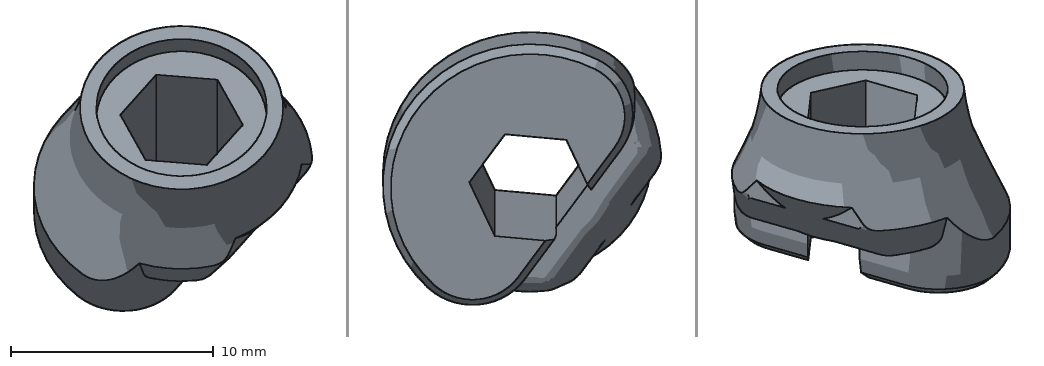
import cadquery as cq
import math

base_radius = 7.28
base_chamfer = 0.39
waist_radius = 5.51
rim_radius = 5.0
neck_middle_radius = 5.2
cone_bottom = 2.5
waist_height = 6.47
neck_middle_height = 7.73
total_height = 9.0

wall_x = 2.63
corner_start_x = -0.81

toe_top = 1.16
toe_wall_x = 2.55
toe_corner_start_x = -1.06

ledge_height = 4.35
crest_height = 5.41
pad_flat_x = 5.3
pad_corner_radius = 1.16
undercut_slope = 0.54
pad_side_slope = 0.13
pad_bottom_fillet = 1.02
crest_bottom_fillet = 1.02

recess_diameter = 8.4
recess_depth = 1.02
hex_across_flats = 2 * wall_x


def flare_radius(height):
    """Radius of the straight flare at a given height."""
    share = (height - cone_bottom) / (waist_height - cone_bottom)
    return base_radius + share * (waist_radius - base_radius)


def outer_skin():
    return (
        cq.Workplane("XZ")
        .lineTo(base_radius - base_chamfer, 0)
        .lineTo(base_radius, base_chamfer)
        .lineTo(base_radius, cone_bottom)
        .lineTo(waist_radius, waist_height)
        .threePointArc((neck_middle_radius, neck_middle_height), (rim_radius, total_height))
        .lineTo(0, total_height)
        .close()
        .revolve(360, (0, 0), (0, 1))
    )


def lower_outline(height, flat_x, start_x):
    start_y = math.sqrt(base_radius**2 - start_x**2)
    corner_radius = (flat_x - start_x) / (1 - start_x / base_radius)
    inward = 1 - corner_radius / base_radius
    center_x = start_x * inward
    center_y = start_y * inward
    back_x = -2 * base_radius
    back_y = (base_radius**2 - back_x * start_x) / start_y
    middle_angle = math.atan2(start_y, start_x) / 2
    middle_x = center_x + corner_radius * math.cos(middle_angle)
    middle_y = center_y + corner_radius * math.sin(middle_angle)
    return (
        cq.Workplane("XY")
        .workplane(offset=height)
        .moveTo(flat_x, -center_y)
        .lineTo(flat_x, center_y)
        .threePointArc((middle_x, middle_y), (start_x, start_y))
        .lineTo(back_x, back_y)
        .lineTo(back_x, -back_y)
        .lineTo(start_x, -start_y)
        .threePointArc((middle_x, -middle_y), (flat_x, -center_y))
        .close()
    )


def lower_body():
    body = lower_outline(toe_top, wall_x, corner_start_x).extrude(crest_height - toe_top)
    toe_upper_wire = lower_outline(toe_top, wall_x, corner_start_x).val()
    toe_lower_wire = lower_outline(base_chamfer, toe_wall_x, toe_corner_start_x).val()
    toe = cq.Workplane("XY").add(cq.Solid.makeLoft([toe_lower_wire, toe_upper_wire], True))
    foot = lower_outline(base_chamfer, toe_wall_x, toe_corner_start_x).extrude(-base_chamfer, taper=45)
    return body.union(toe).union(foot)


def overhanging_pad():
    pad_radius = flare_radius(ledge_height)
    pad_depth = ledge_height - cone_bottom
    side_lean = pad_side_slope * pad_depth
    flat_lean = undercut_slope * pad_depth
    disc = (
        cq.Workplane("XZ")
        .moveTo(0, cone_bottom)
        .lineTo(pad_radius - side_lean, cone_bottom)
        .lineTo(pad_radius, ledge_height)
        .lineTo(pad_radius, crest_height)
        .lineTo(0, crest_height)
        .close()
        .revolve(360, (0, 0), (0, 1))
    )
    flat_limit = (
        cq.Workplane("XZ")
        .moveTo(-base_radius, cone_bottom)
        .lineTo(pad_flat_x - flat_lean, cone_bottom)
        .lineTo(pad_flat_x, ledge_height)
        .lineTo(pad_flat_x, crest_height)
        .lineTo(-base_radius, crest_height)
        .close()
        .extrude(base_radius, both=True)
    )
    corner_box = cq.selectors.BoxSelector(
        (wall_x, -base_radius, cone_bottom), (base_radius, base_radius, crest_height)
    )
    pad = disc.intersect(flat_limit)
    pad = pad.edges(corner_box).edges("not #Z").fillet(pad_corner_radius)
    return pad.faces("<Z").edges().fillet(pad_bottom_fillet)


def crest():
    crest_radius = flare_radius(crest_height)
    bottom_radius = crest_radius - undercut_slope * (crest_height - cone_bottom)
    return (
        cq.Workplane("XZ")
        .moveTo(0, cone_bottom)
        .lineTo(bottom_radius, cone_bottom)
        .lineTo(crest_radius, crest_height)
        .lineTo(0, crest_height)
        .close()
        .revolve(360, (0, 0), (0, 1))
        .faces("<Z")
        .edges()
        .fillet(crest_bottom_fillet)
    )


def upper_body():
    return (
        cq.Workplane("XY")
        .workplane(offset=crest_height)
        .circle(base_radius)
        .extrude(total_height - crest_height)
    )


def stepped_bore():
    hex_across_corners = hex_across_flats / math.cos(math.pi / 6)
    hexagon = (
        cq.Workplane("XY")
        .transformed(rotate=(0, 0, 90))
        .polygon(6, hex_across_corners)
        .extrude(total_height)
    )
    recess = (
        cq.Workplane("XY")
        .workplane(offset=total_height - recess_depth)
        .circle(recess_diameter / 2)
        .extrude(recess_depth)
    )
    return hexagon.union(recess)


allowed_space = lower_body().union(overhanging_pad()).union(crest()).union(upper_body())
result = outer_skin().intersect(allowed_space).cut(stepped_bore())